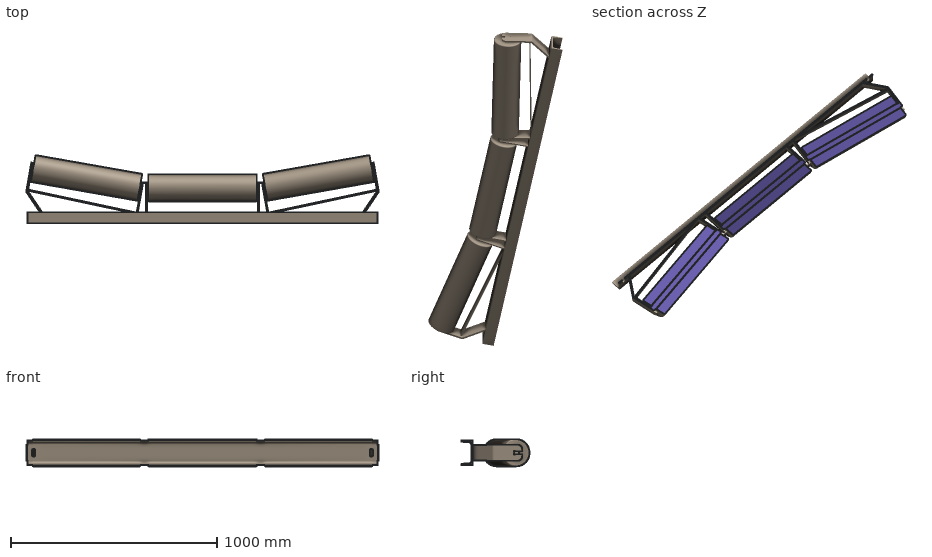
import cadquery as cq
import math


overall_length = 1711.0

roller_diameter = 133.0
roller_length = 527.0
roller_edge_fillet = 5.0
shaft_diameter = 25.0
shaft_flat_width = 15.0
end_gap = 5.0
center_axis_height = 118.0
side_roller_x = 563.0
side_roller_height = 166.0
trough_angle = 10.0

channel_length = 1699.0
channel_height = 120.0
channel_depth = 55.0
web_thickness = 7.0
flange_tip_thickness = 7.0
flange_root_thickness = 10.0
root_fillet = 10.0
tip_fillet = 3.0
mounting_slot_spacing = 1640.0
mounting_slot_length = 38.0
mounting_slot_width = 17.0

bracket_width = 77.0
top_above_axis = 27.0
top_corner_radius = 20.0
end_plate_thickness = 9.0
bend_radius = 12.0
strut_angle = 34.0
sheet_thickness = 6.0
brace_width = 51.0
brace_angle = 12.0
brace_toe_x = 330.0

bracket_face = roller_length / 2 + end_gap
end_plate_outer = bracket_face + end_plate_thickness
inner_leg_outer = bracket_face + sheet_thickness
trough_sin = math.sin(math.radians(trough_angle))
trough_cos = math.cos(math.radians(trough_angle))


def side_point(along, across):
    """XY point of the right side roller: along its axis outward and across it, from its middle."""
    x = side_roller_x + along * trough_cos - across * trough_sin
    y = side_roller_height + along * trough_sin + across * trough_cos
    return x, y


def on_center_axis(shape):
    """Move a shape built along X at the origin to the center roller."""
    return shape.translate((0, center_axis_height, 0))


def on_side_axis(shape):
    """Move a shape built along X at the origin to the right side roller."""
    tilted = shape.rotate((0, 0, 0), (0, 0, 1), trough_angle)
    return tilted.translate((side_roller_x, side_roller_height, 0))


def mirrored(shape):
    """The matching shape at the left end."""
    return shape.mirror("YZ")


def plate(points, width):
    """Outline in XY made into a plate of this width, centered on Z = 0."""
    return cq.Workplane("XY").polyline(points).close().extrude(width / 2, both=True)


def make_roller():
    """Roller along X at the origin, bored for its shaft."""
    left_end = cq.Workplane("YZ", origin=(-roller_length / 2, 0, 0))
    roller = left_end.circle(roller_diameter / 2).extrude(roller_length)
    roller = roller.edges().fillet(roller_edge_fillet)
    return roller.cut(left_end.circle(shaft_diameter / 2).extrude(roller_length))


def make_shaft(left_end, right_end):
    """Shaft along X, with two flats on each end where it sits in a bracket."""
    round_bar = (
        cq.Workplane("YZ", origin=(-left_end, 0, 0))
        .circle(shaft_diameter / 2)
        .extrude(left_end + right_end)
    )
    round_part = cq.Workplane("XY").box(2 * bracket_face, shaft_diameter, shaft_diameter)
    flat_part = cq.Workplane("XY").box(2 * (left_end + right_end), shaft_diameter, shaft_flat_width)
    return round_bar.intersect(round_part.union(flat_part))


def make_slot_opening(near, far):
    """Cutter along X from near to far: a slot with its floor under the shaft, open upward."""
    floor = -shaft_diameter / 2
    opening_top = 2 * top_above_axis
    opening = cq.Workplane("XY").box(far - near, opening_top - floor, shaft_flat_width)
    return opening.translate(((near + far) / 2, (opening_top + floor) / 2, 0))


def make_channel():
    """Base channel with tapered flanges, open toward -Y, and a mounting slot near each end."""
    half_height = channel_height / 2
    profile = [
        (0, -half_height),
        (0, half_height),
        (-channel_depth, half_height),
        (-channel_depth, half_height - flange_tip_thickness),
        (-web_thickness, half_height - flange_root_thickness),
        (-web_thickness, -half_height + flange_root_thickness),
        (-channel_depth, -half_height + flange_tip_thickness),
        (-channel_depth, -half_height),
    ]
    channel = cq.Workplane("YZ").polyline(profile).close().extrude(channel_length / 2, both=True)

    def long_edges_near(y, inner_height):
        """Selects edges along X at this depth, no farther from the middle than the inner flange face."""
        margin = flange_tip_thickness / 4
        return cq.selectors.BoxSelector(
            (-channel_length, y - margin, -inner_height - margin),
            (channel_length, y + margin, inner_height + margin),
        )

    roots = long_edges_near(-web_thickness, half_height - flange_root_thickness)
    channel = channel.edges("|X").edges(roots).fillet(root_fillet)
    tips = long_edges_near(-channel_depth, half_height - flange_tip_thickness)
    channel = channel.edges("|X").edges(tips).fillet(tip_fillet)

    slots = (
        cq.Workplane("XZ")
        .pushPoints([(-mounting_slot_spacing / 2, 0), (mounting_slot_spacing / 2, 0)])
        .slot2D(mounting_slot_length, mounting_slot_width, 90)
        .extrude(channel_depth, both=True)
    )
    return channel.cut(slots)


bend_x = overall_length / 2 - bend_radius
bend_along = end_plate_outer - bend_radius
bend_across = (side_roller_x + bend_along * trough_cos - bend_x) / trough_sin
bend_y = side_point(bend_along, bend_across)[1]
inner_bend_radius = bend_radius - end_plate_thickness


def bend_point(radius, angle):
    """XY point on the bend, at an angle in degrees from the +X direction."""
    turn = math.radians(angle)
    return bend_x + radius * math.cos(turn), bend_y + radius * math.sin(turn)


def strut_foot(radius):
    """Where the strut face that leaves the bend at this radius meets the channel."""
    x, y = bend_point(radius, -strut_angle)
    return x - y * math.tan(math.radians(strut_angle)), 0


def make_end_bracket():
    """Slotted end plate of the right side roller, bent at its foot into a strut."""
    outline = (
        cq.Workplane("XY")
        .moveTo(*side_point(end_plate_outer, top_above_axis))
        .lineTo(*bend_point(bend_radius, trough_angle))
        .threePointArc(bend_point(bend_radius, 0), bend_point(bend_radius, -strut_angle))
        .lineTo(*strut_foot(bend_radius))
        .lineTo(*strut_foot(inner_bend_radius))
        .lineTo(*bend_point(inner_bend_radius, -strut_angle))
        .threePointArc(bend_point(inner_bend_radius, 0), bend_point(inner_bend_radius, trough_angle))
        .lineTo(*side_point(bracket_face, top_above_axis))
        .close()
    )
    bracket = outline.extrude(bracket_width / 2, both=True)
    top_x, top_y = side_point((bracket_face + end_plate_outer) / 2, top_above_axis)
    top_corners = cq.selectors.BoxSelector(
        (top_x - end_plate_thickness, top_y - end_plate_thickness, -bracket_width),
        (top_x + end_plate_thickness, top_y + end_plate_thickness, bracket_width),
    )
    bracket = bracket.edges("not |Z").edges(top_corners).edges("<Z or >Z").fillet(top_corner_radius)
    return bracket.cut(on_side_axis(make_slot_opening(bracket_face, end_plate_outer)))


def make_brace():
    """Sloping strip from the bend of the right end bracket down to the channel."""
    slope = math.tan(math.radians(brace_angle))
    end_x = bend_x + (bend_radius + inner_bend_radius) / 2
    end_y = (end_x - brace_toe_x) * slope
    drop = sheet_thickness / math.cos(math.radians(brace_angle))
    heel_x = brace_toe_x + drop / slope
    outline = [(brace_toe_x, 0), (heel_x, 0), (end_x, end_y - drop), (end_x, end_y)]
    return plate(outline, brace_width)


def make_inner_bracket():
    """Bent sheet between center and right rollers: an upright leg, a bridge and a tilted leg."""
    bridge_top = center_axis_height + top_above_axis
    bridge_bottom = bridge_top - sheet_thickness

    def tilted_leg_point(along, y):
        """XY point at height y on the face of the tilted leg at this distance along the roller axis."""
        return side_point(along, (y - side_roller_height - along * trough_sin) / trough_cos)

    outline = [
        (bracket_face, 0),
        (bracket_face, bridge_top),
        tilted_leg_point(-bracket_face, bridge_top),
        tilted_leg_point(-bracket_face, 0),
        tilted_leg_point(-inner_leg_outer, 0),
        tilted_leg_point(-inner_leg_outer, bridge_bottom),
        (inner_leg_outer, bridge_bottom),
        (inner_leg_outer, 0),
    ]
    bracket = plate(outline, bracket_width)
    bracket = bracket.cut(on_center_axis(make_slot_opening(bracket_face, inner_leg_outer + end_gap)))
    return bracket.cut(on_side_axis(make_slot_opening(-inner_leg_outer - end_gap, -bracket_face)))


center_shaft = on_center_axis(make_shaft(inner_leg_outer, inner_leg_outer))
right_shaft = on_side_axis(make_shaft(inner_leg_outer, end_plate_outer))
shafts = [mirrored(right_shaft), center_shaft, right_shaft]

right_roller = on_side_axis(make_roller())
rollers = [mirrored(right_roller), on_center_axis(make_roller()), right_roller]

frame = make_channel()
for bracket in [make_end_bracket(), make_brace(), make_inner_bracket()]:
    frame = frame.union(bracket).union(mirrored(bracket))

result = cq.Compound.makeCompound([
    frame.val(),
    *[roller.val() for roller in rollers],
    *[shaft.val() for shaft in shafts],
])